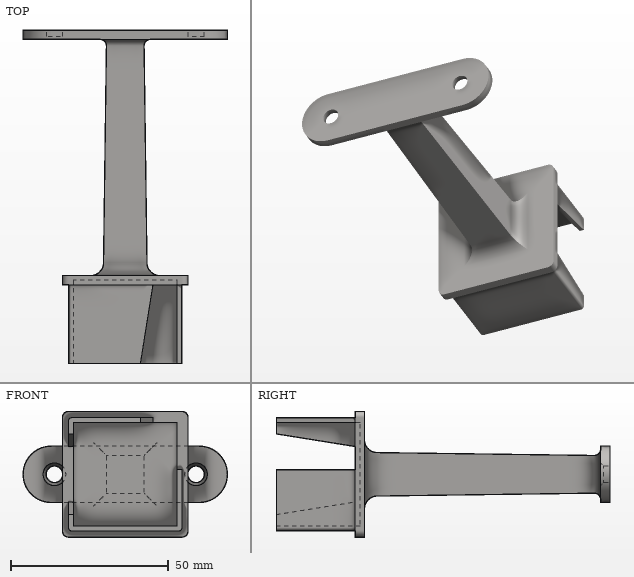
import cadquery as cq


socket_width = 36.0
socket_wall = 1.5
socket_length = 25.0
socket_corner_radius = 1.0
socket_inner = socket_width - 2 * socket_wall
recess_depth = 1.5

opening_root = 8.8
side_opening_tip = 12.8
top_opening_tip = 4.8
low_wall_top = 1.5

flange_width = 40.0
flange_thickness = 3.0
flange_corner_radius = 2.0

arm_length = 75.0
arm_width_at_flange = 14.0
arm_width_at_plate = 12.0
flange_fillet = 4.0
plate_fillet = 2.0
selection_margin = 0.5

plate_length = 65.0
plate_width = 18.0
plate_thickness = 3.0
hole_spacing = 45.0
hole_diameter = 5.2
countersink_diameter = 7.2
countersink_angle = 90.0

flange_back = flange_thickness
plate_front = flange_back + arm_length
half_socket = socket_width / 2
half_inner = socket_inner / 2


def plane_at(y):
    """XZ plane at the given Y whose normal points toward +Y (local x is -X, local y is +Z)."""
    return cq.Workplane(cq.Plane(origin=(0, y, 0), xDir=(-1, 0, 0), normal=(0, 1, 0)))


def square_bar(y_start, length, width, corner_radius=0.0):
    """Square prism along +Y, centred on the axis, with optional rounded long edges."""
    bar = plane_at(y_start).rect(width, width).extrude(length)
    if corner_radius:
        bar = bar.edges("|Y").fillet(corner_radius)
    return bar


def make_arm():
    """Square arm tapering from the flange to the wall plate."""
    return (
        plane_at(flange_back)
        .rect(arm_width_at_flange, arm_width_at_flange)
        .workplane(offset=arm_length)
        .rect(arm_width_at_plate, arm_width_at_plate)
        .loft(combine=True)
    )


def make_plate():
    """Round-ended wall plate with screw holes countersunk on the arm side."""
    plate = plane_at(plate_front).slot2D(plate_length, plate_width).extrude(plate_thickness)
    return (
        plate.faces("<Y")
        .workplane(centerOption="CenterOfBoundBox")
        .rarray(hole_spacing, 1, 2, 1)
        .cskHole(hole_diameter, countersink_diameter, countersink_angle)
    )


def side_opening():
    """Flared gap through the -X wall, symmetric about the axis."""
    return (
        cq.Workplane("YZ", origin=(-half_socket, 0, 0))
        .polyline([
            (0, opening_root),
            (-socket_length, side_opening_tip),
            (-socket_length, -side_opening_tip),
            (0, -opening_root),
        ])
        .close()
        .extrude(socket_wall)
    )


def top_opening():
    """Gap in the top wall, from a slanted edge to the outer +X face."""
    return (
        cq.Workplane("XY", origin=(0, 0, half_inner))
        .polyline([
            (opening_root, 0),
            (top_opening_tip, -socket_length),
            (half_socket, -socket_length),
            (half_socket, 0),
        ])
        .close()
        .extrude(socket_wall)
    )


def low_wall_opening():
    """Removes the +X wall above its low top edge."""
    return (
        cq.Workplane("XY", origin=(half_inner, -socket_length, low_wall_top))
        .box(socket_wall, socket_length, half_socket - low_wall_top, centered=False)
    )


def fillet_arm_end(body, y, arm_width, radius):
    """Rounds the junction between the arm and the plate face at the given Y."""
    reach = arm_width / 2 + selection_margin
    box = cq.selectors.BoxSelector(
        (-reach, y - selection_margin, -reach),
        (reach, y + selection_margin, reach),
    )
    return body.edges(box).fillet(radius)


body = make_arm().union(square_bar(0, flange_thickness, flange_width, flange_corner_radius))
body = body.union(make_plate())
body = fillet_arm_end(body, flange_back, arm_width_at_flange, flange_fillet)
body = fillet_arm_end(body, plate_front, arm_width_at_plate, plate_fillet)

socket = square_bar(-socket_length, socket_length, socket_width, socket_corner_radius)
for opening in (side_opening(), top_opening(), low_wall_opening()):
    socket = socket.cut(opening)

bore = square_bar(-socket_length, socket_length + recess_depth, socket_inner)
result = body.union(socket).cut(bore)